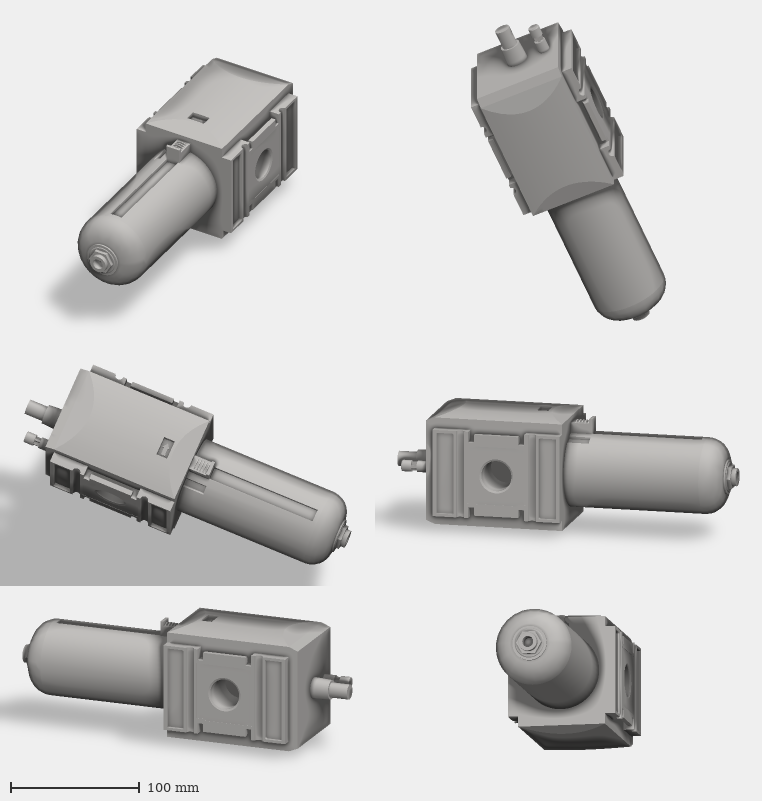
import cadquery as cq
import math


total_length = 271

core_width = 68.8
housing_width = 85.0
housing_length = 102.0
core_height = housing_width
crown_top = 46.5
crown_ramp_length = 15.5
side_face = housing_width / 2
core_side = core_width / 2
mid_length = housing_length / 2

groove_offset = 28.7
groove_diameter = 6.5
panel_offset = 41.0
panel_length = 13.8
panel_height = 64.5
panel_depth = 3.0
panel_corner_radius = 1.4
notch_length = 44.7
notch_floor = 25.7
lip_length = 35.2
lip_top = 32.2
lip_top_thickness = 3.8
lip_root_thickness = 6.0
seat_length = 47.0
seat_half_height = 23.0
seat_depth = 0.3
seat_step_length = 5.7
seat_step_height = 1.4
port_rim_diameter = 27
port_diameter = 24.0
port_bevel_depth = 0.8
port_depth = 32.5

arrow_center = 22.2
arrow_pocket_length = 15.2
arrow_pocket_width = 9.0
arrow_pocket_floor = 42.3
arrow_height = 1.4
arrow_tail = -5.7
arrow_neck = 0.5
arrow_tip = 4.5
arrow_shaft_half_width = 1.5
arrow_head_half_width = 3.0

bowl_diameter = 60.0
bowl_radius = bowl_diameter / 2
bowl_straight_length = 107.9
bowl_round_radius = 16.0
bowl_length = bowl_straight_length + bowl_round_radius
window_width = 10.0
window_floor_radius = 26.8
window_end = 104.3
slot_floor_radius = 28.0
slot_inner_side = -11.0
slot_outer_foot = -15.7
slot_outer_top = -19
slot_outer_rise = 2.5

latch_width = 11.7
latch_length = 17.0
latch_top = 37.5
latch_stop_top = 41.2
latch_stop_length = 2.5
ridge_count = 5
ridge_width = 9.5
ridge_thickness = 0.68
ridge_pitch = 2.5
ridge_start = 3.8
ridge_top = 39.3

drain_disc_diameter = 27
drain_disc_end = 125.2
drain_cone_diameter = 23.0
drain_cone_end_diameter = 22.0
drain_hex_start = 125.7
drain_hex_flats = 17.3
drain_hex_end = 128.5
drain_hex_turn = 30
drain_tip_diameter = 14.0
drain_tip_end = 132.0
drain_hole_diameter = 8.7
drain_hole_depth = 8

cover_end = 109.2
cover_end_height = 79.0
indicator_base_diameter = 17.0
indicator_shoulder_diameter = 15.5
indicator_shoulder = 123.8
indicator_tip_diameter = 12.0
indicator_end = total_length - drain_tip_end
pin_offset = -22.8
pin_diameter = 9.0
pin_end_diameter = 8
pin_end_bevel = 0.8
pin_neck_start = 118.5
pin_neck_end = 123.0
pin_end = 131.0
pin_neck_span = 6.8
pin_neck_rib = 1.5


def block(x_range, y_range, z_range):
    """Box between two limits on each axis."""
    limits = (x_range, y_range, z_range)
    sizes = [high - low for low, high in limits]
    corner = tuple(low for low, high in limits)
    return cq.Workplane("XY").box(*sizes, centered=False).translate(corner)


def turned(points, x_center=0):
    """Solid turned about a line parallel to Y, from (radius, y) points."""
    profile = cq.Workplane("XY").polyline(points).close()
    return profile.revolve(360, (0, 0), (0, 1)).translate((x_center, 0, 0))


def side_prism(points, start, thickness):
    """Prism of a (y, z) outline, from x = start toward +X."""
    return cq.Workplane("YZ").polyline(points).close().extrude(thickness).translate((start, 0, 0))


def make_crowned_core():
    """Housing core with arched top and bottom, sloped down to both ends."""
    z_edge = core_height / 2
    section = (
        cq.Workplane("XZ")
        .moveTo(-core_side, -z_edge)
        .threePointArc((0, -crown_top), (core_side, -z_edge))
        .lineTo(core_side, z_edge)
        .threePointArc((0, crown_top), (-core_side, z_edge))
        .close()
        .extrude(-housing_length)
    )
    back_ramp = housing_length - crown_ramp_length
    upper = [(0, z_edge), (crown_ramp_length, crown_top), (back_ramp, crown_top), (housing_length, z_edge)]
    lower = [(y, -z) for y, z in reversed(upper)]
    return section.intersect(side_prism(upper + lower, -core_side, core_width))


def make_flange():
    """Side flange on -X with grooves, panels, clamp notches and the port seat."""
    flange = block((-side_face, -core_side), (0, housing_length), (-core_side, core_side))
    for direction in (-1, 1):
        groove_y = mid_length + direction * groove_offset
        groove = (
            cq.Workplane("XY")
            .center(-side_face, groove_y)
            .circle(groove_diameter / 2)
            .extrude(core_side, both=True)
        )
        panel_y = mid_length + direction * panel_offset
        panel_half = panel_length / 2
        panel = block(
            (-side_face, -side_face + panel_depth),
            (panel_y - panel_half, panel_y + panel_half),
            (-panel_height / 2, panel_height / 2),
        )
        inner_edges = "|X and <Y" if direction > 0 else "|X and >Y"
        panel = panel.edges(inner_edges).fillet(panel_corner_radius)
        flange = flange.cut(groove).cut(panel)
    notch_y = (mid_length - notch_length / 2, mid_length + notch_length / 2)
    lip_section = [
        (-side_face, notch_floor),
        (-side_face, lip_top),
        (-side_face + lip_top_thickness, lip_top),
        (-side_face + lip_root_thickness, notch_floor),
    ]
    for direction in (-1, 1):
        z_limits = sorted((direction * notch_floor, direction * core_side))
        flange = flange.cut(block((-side_face, -core_side), notch_y, z_limits))
        lip = (
            cq.Workplane("XZ")
            .polyline([(x, direction * z) for x, z in lip_section])
            .close()
            .extrude(lip_length / 2, both=True)
            .translate((0, mid_length, 0))
        )
        flange = flange.union(lip)
    return flange.cut(make_seat())


def make_seat():
    """Shallow square seat around the port, with one stepped corner."""
    front = mid_length - seat_length / 2
    back = mid_length + seat_length / 2
    step_y = front + seat_step_length
    step_z = -seat_half_height + seat_step_height
    outline = [
        (back, seat_half_height),
        (front, seat_half_height),
        (front, step_z),
        (step_y, step_z),
        (step_y, -seat_half_height),
        (back, -seat_half_height),
    ]
    return side_prism(outline, -side_face, seat_depth)


def make_port():
    """Blind port with a bevelled rim, entering from -X."""
    rim = -side_face + seat_depth
    profile = [
        (rim, 0),
        (rim, port_rim_diameter / 2),
        (rim + port_bevel_depth, port_diameter / 2),
        (rim + port_depth, port_diameter / 2),
        (rim + port_depth, 0),
    ]
    port = cq.Workplane("XY").polyline(profile).close().revolve(360, (0, 0), (1, 0))
    return port.translate((0, mid_length, 0))


def make_arrow_pocket():
    """Pocket in the crown, with a raised arrow left standing on its floor."""
    pocket = (
        cq.Workplane("XY", origin=(0, arrow_center, arrow_pocket_floor))
        .rect(arrow_pocket_length, arrow_pocket_width)
        .extrude(crown_top)
    )
    upper = [
        (arrow_tail, arrow_shaft_half_width),
        (arrow_neck, arrow_shaft_half_width),
        (arrow_neck, arrow_head_half_width),
    ]
    lower = [(x, -y) for x, y in reversed(upper)]
    arrow = (
        cq.Workplane("XY", origin=(0, arrow_center, arrow_pocket_floor))
        .polyline(upper + [(arrow_tip, 0)] + lower)
        .close()
        .extrude(arrow_height)
    )
    return pocket.cut(arrow)


def make_bowl():
    """Round-ended bowl with a long sight window and a short slot beside the latch."""
    round_center = bowl_radius - bowl_round_radius
    diagonal = bowl_round_radius * math.sqrt(0.5)
    bowl = (
        cq.Workplane("XY")
        .lineTo(bowl_radius, 0)
        .lineTo(bowl_radius, -bowl_straight_length)
        .threePointArc(
            (round_center + diagonal, -bowl_straight_length - diagonal),
            (round_center, -bowl_length),
        )
        .lineTo(0, -bowl_length)
        .close()
        .revolve(360, (0, 0), (0, 1))
    )
    return bowl.cut(make_window()).cut(make_slot())


def outside_radius(radius):
    """Long tube around the bowl axis, with its bore at the given radius."""
    return cq.Workplane("XZ").circle(bowl_diameter).circle(radius).extrude(bowl_length)


def make_window():
    """Long sight window with a floor concentric with the bowl."""
    half = window_width / 2
    opening = block((-half, half), (-window_end, -latch_length), (0, bowl_diameter))
    return opening.intersect(outside_radius(window_floor_radius))


def make_slot():
    """Short slot beside the latch, with an upright inner wall and a leaning outer wall."""
    foot_height = math.sqrt(slot_floor_radius**2 - slot_outer_foot**2)
    opening = (
        cq.Workplane("XZ")
        .polyline([
            (slot_inner_side, foot_height),
            (slot_inner_side, bowl_radius),
            (slot_outer_top, bowl_radius),
            (slot_outer_top, foot_height + slot_outer_rise),
            (slot_outer_foot, foot_height),
        ])
        .close()
        .extrude(latch_length)
    )
    return opening.intersect(outside_radius(slot_floor_radius))


def make_latch():
    """Bowl latch with arched finger ridges and a raised stop at its end."""
    half = latch_width / 2
    latch = block((-half, half), (-latch_length, 0), (window_floor_radius, latch_top))
    stop_y = (-latch_length, -latch_length + latch_stop_length)
    latch = latch.union(block((-half, half), stop_y, (window_floor_radius, latch_stop_top)))
    for index in range(ridge_count):
        ridge_y = -ridge_start - index * ridge_pitch
        ridge = (
            cq.Workplane("XZ", origin=(0, ridge_y, latch_top))
            .moveTo(-ridge_width / 2, 0)
            .threePointArc((0, ridge_top - latch_top), (ridge_width / 2, 0))
            .close()
            .extrude(ridge_thickness / 2, both=True)
        )
        latch = latch.union(ridge)
    return latch


def make_drain():
    """Stepped drain with a hexagon, whose corners point along X, and a bored tip."""
    stem = turned([
        (0, -bowl_length),
        (drain_disc_diameter / 2, -bowl_length),
        (drain_disc_diameter / 2, -drain_disc_end),
        (drain_cone_diameter / 2, -drain_disc_end),
        (drain_cone_end_diameter / 2, -drain_hex_start),
        (drain_tip_diameter / 2, -drain_hex_start),
        (drain_tip_diameter / 2, -drain_tip_end),
        (0, -drain_tip_end),
    ])
    hexagon = (
        cq.Workplane("XZ", origin=(0, -drain_hex_start, 0))
        .polygon(6, drain_hex_flats, circumscribed=True)
        .extrude(drain_hex_end - drain_hex_start)
        .rotate((0, 0, 0), (0, 1, 0), drain_hex_turn)
    )
    hole = (
        cq.Workplane("XZ", origin=(0, -drain_tip_end, 0))
        .circle(drain_hole_diameter / 2)
        .extrude(-drain_hole_depth)
    )
    return stem.union(hexagon).cut(hole)


def make_housing():
    """Housing with its side flanges, ports, bowl, latch and drain."""
    flange = make_flange()
    port = make_port()
    body = make_crowned_core().union(flange).union(flange.mirror("YZ"))
    body = body.cut(port).cut(port.mirror("YZ")).cut(make_arrow_pocket())
    return body.union(make_bowl()).union(make_latch()).union(make_drain())


def make_pin():
    """Pin beside the indicator, with a cross-shaped neck."""
    radius = pin_diameter / 2
    foot = turned([
        (0, cover_end),
        (radius, cover_end),
        (radius, pin_neck_start),
        (0, pin_neck_start),
    ], pin_offset)
    head = turned([
        (0, pin_neck_end),
        (radius, pin_neck_end),
        (radius, pin_end - pin_end_bevel),
        (pin_end_diameter / 2, pin_end),
        (0, pin_end),
    ], pin_offset)
    neck = (
        cq.Workplane("XZ", origin=(pin_offset, pin_neck_start, 0))
        .rect(pin_neck_span, pin_neck_rib)
        .extrude(pin_neck_start - pin_neck_end)
    )
    neck = neck.union(neck.rotate((pin_offset, 0, 0), (pin_offset, 1, 0), 90))
    return foot.union(neck).union(head)


def make_cover():
    """End cover with bevelled top and bottom, carrying the indicator and the pin."""
    plate = side_prism(
        [
            (housing_length, -core_height / 2),
            (housing_length, core_height / 2),
            (cover_end, cover_end_height / 2),
            (cover_end, -cover_end_height / 2),
        ],
        -core_side,
        core_width,
    )
    indicator = turned([
        (0, cover_end),
        (indicator_base_diameter / 2, cover_end),
        (indicator_shoulder_diameter / 2, indicator_shoulder),
        (indicator_tip_diameter / 2, indicator_shoulder),
        (indicator_tip_diameter / 2, indicator_end),
        (0, indicator_end),
    ])
    return plate.union(indicator).union(make_pin())


housing = make_housing()
cover = make_cover()
result = cq.Compound.makeCompound([housing.val(), cover.val()])